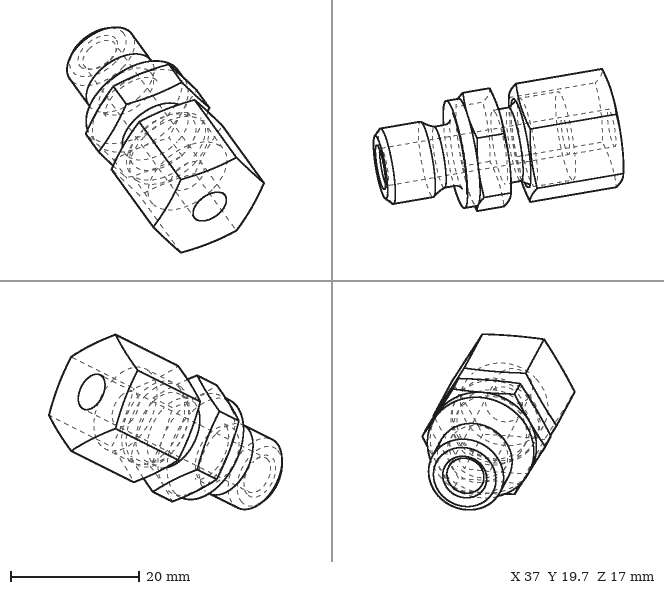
import cadquery as cq
import math


NOSE_CHAMFER_END = 1.0
NOSE_THREAD_END = 7.4
UNDERCUT_START = 9.4
UNDERCUT_END = 11.15
COLLAR_FACE = 12.0
BODY_HEX_START = 14.0
BODY_HEX_END = 18.98
TAIL_FLARE_START = 21.5
NUT_START = 22.5
TAIL_END = 29.6
TOTAL_LENGTH = 37.0

BORE_RADIUS = 2.95
BORE_MOUTH_RADIUS = 3.5
NOSE_TIP_RADIUS = 5.0
NOSE_THREAD_RADIUS = 6.0
UNDERCUT_RADIUS = 4.85
UNDERCUT_FILLET = 1.3
SEALING_EDGE_RADIUS = 8.0
TAIL_NECK_RADIUS = 5.85
TAIL_THREAD_RADIUS = 7.0

TAPER_SAG = 0.1
BORE_MOUTH_DEPTH = BORE_MOUTH_RADIUS - BORE_RADIUS

ACROSS_FLATS = 17.02
FLAT_RADIUS = ACROSS_FLATS / 2
CORNER_RADIUS = FLAT_RADIUS / math.cos(math.radians(30))
CORNER_CHAMFER_ANGLE = 15.0
CORNER_CHAMFER_LENGTH = (CORNER_RADIUS - FLAT_RADIUS) * math.tan(math.radians(CORNER_CHAMFER_ANGLE))

TAIL_FLARE_ANGLE = 30.0
TAIL_FLARE_RISE = TAIL_THREAD_RADIUS - TAIL_NECK_RADIUS
TAIL_FLARE_END = TAIL_FLARE_START + TAIL_FLARE_RISE / math.tan(math.radians(TAIL_FLARE_ANGLE))


def revolve_about_axis(profile):
    """Turn a closed (x, radius) profile around the X axis."""
    return profile.close().revolve(360, (0, 0, 0), (1, 0, 0))


def cylinder(start, end, radius):
    """Cylinder on the X axis between two positions."""
    return cq.Workplane("YZ", origin=(start, 0, 0)).circle(radius).extrude(end - start)


def chamfered_hexagon(start, end):
    """Hexagonal prism along X with its corners turned off conically at both ends."""
    prism = cq.Workplane("YZ", origin=(start, 0, 0)).polygon(6, 2 * CORNER_RADIUS).extrude(end - start)
    envelope = revolve_about_axis(
        cq.Workplane("XY")
        .moveTo(start, 0)
        .lineTo(start, FLAT_RADIUS)
        .lineTo(start + CORNER_CHAMFER_LENGTH, CORNER_RADIUS)
        .lineTo(end - CORNER_CHAMFER_LENGTH, CORNER_RADIUS)
        .lineTo(end, FLAT_RADIUS)
        .lineTo(end, 0)
    )
    return prism.intersect(envelope)


def turned_nose():
    """Threaded nose, thread relief and collar with a sharp, undercut sealing edge."""
    taper_middle = (
        (NOSE_THREAD_END + UNDERCUT_START) / 2,
        (NOSE_THREAD_RADIUS + UNDERCUT_RADIUS) / 2 - TAPER_SAG,
    )
    fillet_run = UNDERCUT_FILLET * math.sin(math.radians(45))
    fillet_rise = UNDERCUT_FILLET * (1 - math.cos(math.radians(45)))
    fillet_middle = (UNDERCUT_END + fillet_run, UNDERCUT_RADIUS + fillet_rise)
    fillet_end = (UNDERCUT_END + UNDERCUT_FILLET, UNDERCUT_RADIUS + UNDERCUT_FILLET)
    return revolve_about_axis(
        cq.Workplane("XY")
        .moveTo(0, 0)
        .lineTo(0, NOSE_TIP_RADIUS)
        .lineTo(NOSE_CHAMFER_END, NOSE_THREAD_RADIUS)
        .lineTo(NOSE_THREAD_END, NOSE_THREAD_RADIUS)
        .threePointArc(taper_middle, (UNDERCUT_START, UNDERCUT_RADIUS))
        .lineTo(UNDERCUT_END, UNDERCUT_RADIUS)
        .threePointArc(fillet_middle, fillet_end)
        .lineTo(COLLAR_FACE, SEALING_EDGE_RADIUS)
        .lineTo(COLLAR_FACE, FLAT_RADIUS)
        .lineTo(BODY_HEX_START, FLAT_RADIUS)
        .lineTo(BODY_HEX_START, 0)
    )


def turned_tail():
    """Neck behind the hexagon, flared up to the thread that fills the nut's recess."""
    return revolve_about_axis(
        cq.Workplane("XY")
        .moveTo(BODY_HEX_END, 0)
        .lineTo(BODY_HEX_END, TAIL_NECK_RADIUS)
        .lineTo(TAIL_FLARE_START, TAIL_NECK_RADIUS)
        .lineTo(TAIL_FLARE_END, TAIL_THREAD_RADIUS)
        .lineTo(TAIL_END, TAIL_THREAD_RADIUS)
        .lineTo(TAIL_END, 0)
    )


def body_bore():
    """Through bore with a 45 degree chamfer at the nose."""
    return revolve_about_axis(
        cq.Workplane("XY")
        .moveTo(0, 0)
        .lineTo(0, BORE_MOUTH_RADIUS)
        .lineTo(BORE_MOUTH_DEPTH, BORE_RADIUS)
        .lineTo(TAIL_END, BORE_RADIUS)
        .lineTo(TAIL_END, 0)
    )


def make_fitting_body():
    """Nose, collar, hexagon and tail in one piece."""
    blank = turned_nose().union(chamfered_hexagon(BODY_HEX_START, BODY_HEX_END)).union(turned_tail())
    return blank.cut(body_bore())


def make_union_nut():
    """Hexagon nut with a recess for the tail and a tube hole through its far end."""
    tail_recess = cylinder(NUT_START, TAIL_END, TAIL_THREAD_RADIUS)
    tube_hole = cylinder(TAIL_END, TOTAL_LENGTH, BORE_RADIUS)
    return chamfered_hexagon(NUT_START, TOTAL_LENGTH).cut(tail_recess).cut(tube_hole)


fitting_body = make_fitting_body()
union_nut = make_union_nut()

result = cq.Compound.makeCompound([fitting_body.solids().val(), union_nut.solids().val()])